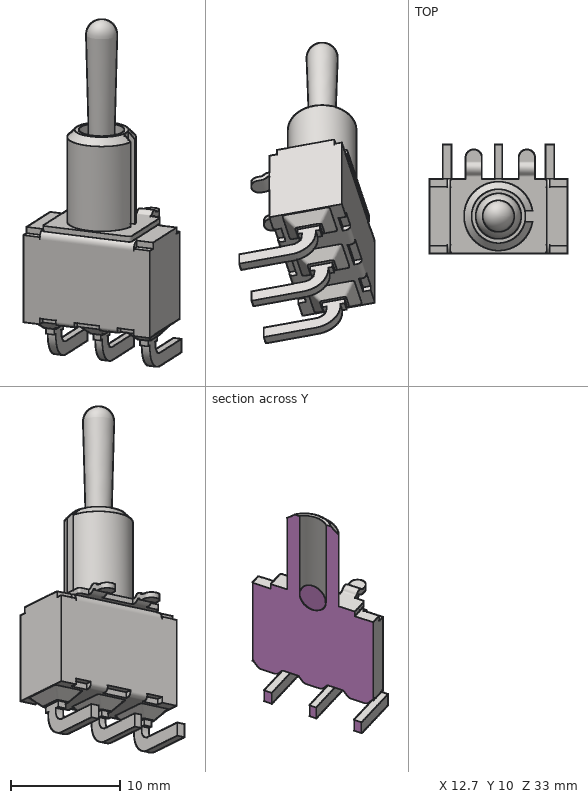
import cadquery as cq
import math


case_length = 12.7
case_depth = 6.85
case_height = 8.93
cover_length = 9.42
cover_edge_radius = 0.8
corner_notch_depth = 0.72
corner_notch_height = 0.6
recess_height = 0.55
fold_width = 1.85
fold_radius = 0.43
fold_offset = 2.17

plate_length = 8.83
plate_thickness = 0.53
plate_corner_radius = 0.23
lug_width = 1.5
lug_end = 6.13
lug_spacing = 4.88
lug_shift = 0.15
ridge_y = 4.3
ridge_rise = 0.33
ridge_crest_radius = 0.63
ridge_foot_radius = 0.3

bushing_diameter = 6.33
bushing_height = 8.8
bushing_chamfer = 0.7
bore_diameter = 4.2
keyway_width = 1.0

lever_top = 28.75
lever_tip_radius = 1.45
lever_neck_radius = 1.22

terminal_pitch = 4.7
outer_terminal_width = 0.82
middle_terminal_width = 0.72
terminal_thickness = 1.3
terminal_drop = 4.2
terminal_end = 6.6
bend_inner_radius = 1.0
shoulder_width = 2.1
shoulder_bottom = -1.58
seal_height = 1.0
seal_tip_length = 1.32
seal_tip_depth = 2.5
seal_base_length = 3.05
seal_base_depth = 4.48
seal_edge_radius = 0.33

plate_top = case_height + plate_thickness
bushing_top = plate_top + bushing_height
ball_center_z = plate_top


def corner_notches(side):
    """Corner notches of one long upper edge, on both ends of the cover."""
    notch_length = (case_length - cover_length) / 2
    notch_x = (case_length - notch_length) / 2
    return (
        cq.Workplane("XY")
        .workplane(offset=case_height - corner_notch_height)
        .pushPoints([(x, side * (case_depth - corner_notch_depth) / 2) for x in (-notch_x, notch_x)])
        .rect(notch_length, corner_notch_depth)
        .extrude(corner_notch_height)
    )


def rounding_cut(length, radius):
    """Bar that rounds an edge along X: the edge is at the origin, the solid lies at +Y and +Z."""
    square = cq.Workplane("YZ").rect(radius, radius, centered=False).extrude(length / 2, both=True)
    rod = cq.Workplane("YZ").center(radius, radius).circle(radius).extrude(length / 2, both=True)
    return square.cut(rod)


def bottom_recesses():
    """Slot along a lower edge at Y = 0, interrupted by the two folds."""
    slot = (
        cq.Workplane("XY")
        .center(0, corner_notch_depth / 2)
        .rect(cover_length, corner_notch_depth)
        .extrude(recess_height)
    )
    folds = (
        cq.Workplane("XY")
        .pushPoints([(-fold_offset, corner_notch_depth / 2), (fold_offset, corner_notch_depth / 2)])
        .rect(fold_width, corner_notch_depth)
        .extrude(recess_height)
    )
    return slot.cut(folds)


def make_case():
    case = cq.Workplane("XY").box(case_length, case_depth, case_height, centered=(True, True, False))
    edge_cuts = [
        rounding_cut(cover_length, cover_edge_radius).mirror("XY").translate((0, 0, case_height)),
        bottom_recesses(),
    ]
    for x in (-fold_offset, fold_offset):
        edge_cuts.append(rounding_cut(fold_width, fold_radius).translate((x, 0, 0)))
    for cutter in edge_cuts:
        front_cutter = cutter.translate((0, -case_depth / 2, 0))
        case = case.cut(front_cutter).cut(front_cutter.mirror("XZ"))
    for side in (-1, 1):
        case = case.cut(corner_notches(side))
    return case


def make_plate():
    return (
        cq.Workplane("XY")
        .workplane(offset=case_height)
        .rect(plate_length, case_depth)
        .extrude(plate_thickness)
        .edges("|Z")
        .fillet(plate_corner_radius)
    )


def make_lug(x):
    """Lug with a rounded tip and a ridge bent from sheet of constant thickness."""
    centers_distance = ridge_crest_radius + ridge_foot_radius
    foot_angle = math.acos((centers_distance - ridge_rise) / centers_distance)
    foot_y = centers_distance * math.sin(foot_angle)
    crest_z = plate_top + ridge_rise - ridge_crest_radius
    foot_z = plate_top + ridge_foot_radius

    def crest(radius, angle):
        return (ridge_y + radius * math.sin(angle), crest_z + radius * math.cos(angle))

    def foot(side, radius, angle):
        return (ridge_y + side * (foot_y - radius * math.sin(angle)), foot_z - radius * math.cos(angle))

    inner_crest = ridge_crest_radius - plate_thickness
    outer_foot = ridge_foot_radius + plate_thickness
    bent_sheet = (
        cq.Workplane("YZ")
        .moveTo(0, plate_top)
        .lineTo(*foot(-1, ridge_foot_radius, 0))
        .threePointArc(foot(-1, ridge_foot_radius, foot_angle / 2), foot(-1, ridge_foot_radius, foot_angle))
        .threePointArc(crest(ridge_crest_radius, 0), crest(ridge_crest_radius, foot_angle))
        .threePointArc(foot(1, ridge_foot_radius, foot_angle / 2), foot(1, ridge_foot_radius, 0))
        .lineTo(lug_end, plate_top)
        .lineTo(lug_end, case_height)
        .lineTo(*foot(1, outer_foot, 0))
        .threePointArc(foot(1, outer_foot, foot_angle / 2), foot(1, outer_foot, foot_angle))
        .threePointArc(crest(inner_crest, 0), crest(inner_crest, -foot_angle))
        .threePointArc(foot(-1, outer_foot, foot_angle / 2), foot(-1, outer_foot, 0))
        .lineTo(0, case_height)
        .close()
        .extrude(lug_width / 2, both=True)
    )
    rounded_outline = (
        cq.Workplane("XY")
        .workplane(offset=case_height)
        .center(0, lug_end / 2)
        .slot2D(lug_end, lug_width, 90)
        .extrude(plate_thickness + ridge_rise)
    )
    return bent_sheet.intersect(rounded_outline).translate((x, 0, 0))


def make_bushing():
    radius = bushing_diameter / 2
    rim_radius = radius - bushing_chamfer
    bushing = (
        cq.Workplane("XY")
        .workplane(offset=plate_top)
        .circle(radius)
        .extrude(bushing_height)
        .faces(">Z")
        .edges()
        .chamfer(bushing_chamfer)
    )
    keyway = (
        cq.Workplane("XY")
        .box(radius - rim_radius, keyway_width, bushing_height, centered=(False, True, False))
        .translate((rim_radius, 0, plate_top))
    )
    return bushing.cut(keyway)


def make_bore():
    """Bore for the lever, ending in a round seat for its ball."""
    radius = bore_diameter / 2
    shaft_depth = bushing_top - ball_center_z
    shaft = cq.Workplane("XY").workplane(offset=ball_center_z).circle(radius).extrude(shaft_depth)
    seat = cq.Workplane("XY").sphere(radius).translate((0, 0, ball_center_z))
    return shaft.union(seat)


def make_seal(x):
    """Tapered seal that widens from its tip up to the case, with rounded slanted edges."""
    return (
        cq.Workplane("XY")
        .rect(seal_base_length, seal_base_depth)
        .workplane(offset=-seal_height)
        .rect(seal_tip_length, seal_tip_depth)
        .loft(ruled=True)
        .edges("not #Z")
        .fillet(seal_edge_radius)
        .translate((x, 0, 0))
    )


def make_terminal(x, width):
    """Terminal that leaves the seal downwards and bends towards +Y."""
    half = terminal_thickness / 2
    bend_outer_radius = bend_inner_radius + terminal_thickness
    bend_y = half + bend_inner_radius
    bend_z = bend_outer_radius - terminal_drop
    diagonal = math.sqrt(0.5)
    return (
        cq.Workplane("YZ")
        .moveTo(-shoulder_width / 2, -seal_height)
        .lineTo(-shoulder_width / 2, shoulder_bottom)
        .lineTo(-half, shoulder_bottom)
        .lineTo(-half, bend_z)
        .threePointArc(
            (bend_y - bend_outer_radius * diagonal, bend_z - bend_outer_radius * diagonal),
            (bend_y, -terminal_drop),
        )
        .lineTo(terminal_end, -terminal_drop)
        .lineTo(terminal_end, terminal_thickness - terminal_drop)
        .lineTo(bend_y, terminal_thickness - terminal_drop)
        .threePointArc(
            (bend_y - bend_inner_radius * diagonal, bend_z - bend_inner_radius * diagonal),
            (half, bend_z),
        )
        .lineTo(half, shoulder_bottom)
        .lineTo(shoulder_width / 2, shoulder_bottom)
        .lineTo(shoulder_width / 2, -seal_height)
        .close()
        .extrude(width / 2, both=True)
        .translate((x, 0, 0))
    )


def make_housing():
    housing = make_case().union(make_plate()).union(make_bushing())
    for side in (-1, 1):
        housing = housing.union(make_lug(lug_shift + side * lug_spacing / 2))
    for position, width in (
        (-1, outer_terminal_width),
        (0, middle_terminal_width),
        (1, outer_terminal_width),
    ):
        x = position * terminal_pitch
        housing = housing.union(make_seal(x)).union(make_terminal(x, width))
    return housing.cut(make_bore())


def make_lever():
    """Lever with a round tip, a slight taper and a ball seated in the bushing."""
    tip_center_z = lever_top - lever_tip_radius
    taper = (lever_tip_radius - lever_neck_radius) / (tip_center_z - bushing_top)
    root_radius = lever_tip_radius - taper * (tip_center_z - ball_center_z)
    diagonal = lever_tip_radius * math.sqrt(0.5)
    stem = (
        cq.Workplane("XZ")
        .moveTo(0, ball_center_z)
        .lineTo(root_radius, ball_center_z)
        .lineTo(lever_tip_radius, tip_center_z)
        .threePointArc((diagonal, tip_center_z + diagonal), (0, lever_top))
        .close()
        .revolve(360, (0, 0, 0), (0, 1, 0))
    )
    ball = cq.Workplane("XY").sphere(bore_diameter / 2).translate((0, 0, ball_center_z))
    return stem.union(ball)


housing = make_housing()
lever = make_lever()
result = cq.Compound.makeCompound([housing.solids().val(), lever.solids().val()])